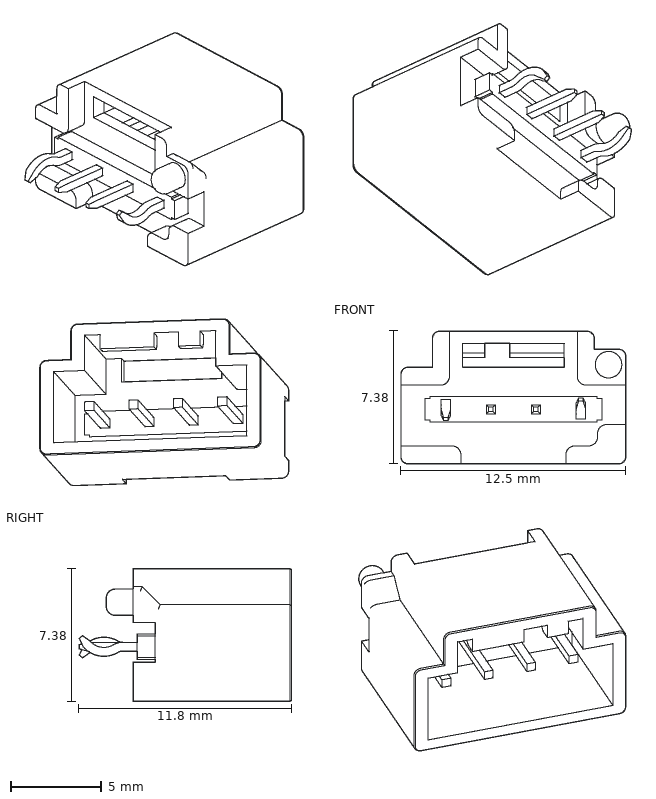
import cadquery as cq
import math


width = 12.5
depth = 8.8
height = 7.38
shoulder_height = 5.38
top_width = 9.0
edge_radius = 0.4
mouth_chamfer_depth = 0.1
mouth_chamfer_inset = 0.05

flange_height = 6.38
flange_thickness = 0.5
flange_rise = flange_height - shoulder_height

peg_diameter = 1.48
peg_length = 1.5
peg_round = 0.5
peg_x = 5.29
peg_z = 5.51

recess_depth = 1.22
recess_top_width = 7.1
recess_bottom_width = 5.82
pad_underside = 4.38
foot_height = 1.0
tall_foot_height = 2.19
tall_foot_width = 1.58
recess_radius = 0.5

side_wall = 0.8
roof_wall = 0.68
back_wall = 0.8
cavity_start = recess_depth + back_wall
cavity_depth = depth - cavity_start

window_width = 5.65
window_bottom = shoulder_height
window_top = height - roof_wall
ledge_drop = 0.8
ledge_length = 1.0
ledge_chamfer = 0.25
ledge_gap_width = 1.38
ledge_gap_x = -0.9

wafer_width = 9.28
wafer_height = 1.42
tab_span = 9.82
tab_height = 1.2
wafer_front = 0.22
wafer_length = cavity_start - wafer_front

contact_z = 3.04
contact_pitch = 2.5
contact_thickness = 0.5
contact_end = 7.05
tail_reach = 3.0
tip_length = 0.5
tip_thickness = 0.25
inner_contact_x = contact_pitch / 2
outer_contact_x = inner_contact_x + contact_pitch

kink_width = 0.54
kink_peak_y = -1.62
kink_rise = 0.29
bend_radius = 0.88
hump_radius = 1.25
tail_slope = 50.0


def box(x_min, x_max, y_min, y_max, z_min, z_max):
    """Block between the given limits."""
    return cq.Workplane("XY").box(
        x_max - x_min, y_max - y_min, z_max - z_min, centered=False
    ).translate((x_min, y_min, z_min))


def stepped_block(half_width, half_top, bottom, shoulder, top, start_y, length):
    """Block along Y with a wide lower part and a narrower top."""
    points = [
        (-half_width, bottom),
        (half_width, bottom),
        (half_width, shoulder),
        (half_top, shoulder),
        (half_top, top),
        (-half_top, top),
        (-half_top, shoulder),
        (-half_width, shoulder),
    ]
    plane = cq.Workplane("XZ", origin=(0, start_y, 0))
    return plane.polyline(points).close().extrude(-length)


def round_edges_along_y(block, corners, middle_y, radius):
    """Round the edges that run along Y through the given (x, z) corners."""
    for x, z in corners:
        edge = block.edges(cq.selectors.NearestToPointSelector((x, middle_y, z)))
        block = edge.fillet(radius)
    return block


def make_flange():
    """Raised right shoulder with a 45 degree ramp behind it and a rounded outer edge."""
    base_z = shoulder_height - edge_radius
    ramp_end = flange_thickness + flange_rise
    points = [
        (0, base_z),
        (ramp_end + edge_radius, base_z),
        (ramp_end, shoulder_height),
        (flange_thickness, flange_height),
        (0, flange_height),
    ]
    inner_x = top_width / 2 - edge_radius
    plane = cq.Workplane("YZ", origin=(inner_x, 0, 0))
    flange = plane.polyline(points).close().extrude(width / 2 - inner_x)
    top_middle = (width / 2, flange_thickness / 2, flange_height)
    ramp_middle = (width / 2, flange_thickness + flange_rise / 2, shoulder_height + flange_rise / 2)
    outer_edges = flange.edges(cq.selectors.NearestToPointSelector(top_middle))
    outer_edges = outer_edges.add(flange.edges(cq.selectors.NearestToPointSelector(ramp_middle)))
    return flange.newObject(outer_edges.vals()).fillet(edge_radius)


def make_peg():
    """Round-nosed locating peg standing out of the flange."""
    plane = cq.Workplane("XZ", origin=(peg_x, 0, peg_z))
    return plane.circle(peg_diameter / 2).extrude(peg_length).faces("<Y").edges().fillet(peg_round)


def make_recess():
    """Board-face recess, open to the top, the bottom and both sides."""
    side = width / 2
    half_top = recess_top_width / 2
    half_bottom = recess_bottom_width / 2
    tall_x = side - tall_foot_width
    points = [
        (-half_bottom, 0),
        (half_bottom, 0),
        (half_bottom, foot_height),
        (tall_x, foot_height),
        (tall_x, tall_foot_height),
        (side, tall_foot_height),
        (side, pad_underside),
        (half_top, pad_underside),
        (half_top, height),
        (-half_top, height),
        (-half_top, pad_underside),
        (-side, pad_underside),
        (-side, foot_height),
        (-half_bottom, foot_height),
    ]
    recess = cq.Workplane("XZ").polyline(points).close().extrude(-recess_depth)
    pad_corners = [
        (-half_bottom, foot_height),
        (half_bottom, foot_height),
        (tall_x, foot_height),
        (tall_x, tall_foot_height),
        (half_top, pad_underside),
        (-half_top, pad_underside),
    ]
    return round_edges_along_y(recess, pad_corners, recess_depth / 2, recess_radius)


def make_ledge():
    """Latch ledge under the roof at the mouth, split by a gap."""
    half = window_width / 2
    ledge = box(-half, half, depth - ledge_length, depth, window_top - ledge_drop, window_top)
    ledge = ledge.faces("<Y").edges("<Z").chamfer(ledge_chamfer)
    gap_left = ledge_gap_x - ledge_gap_width / 2
    gap_right = ledge_gap_x + ledge_gap_width / 2
    return ledge.cut(box(gap_left, gap_right, 0, depth, 0, window_top))


def make_wafer_block():
    """Wafer body with a lower tab at each end."""
    plane = cq.Workplane("XZ", origin=(0, wafer_front, contact_z))
    body = plane.rect(wafer_width, wafer_height).extrude(-wafer_length)
    return body.union(plane.rect(tab_span, tab_height).extrude(-wafer_length))


def make_housing():
    """Shell with flange, peg, recess, cavity, window and latch ledge."""
    shell = stepped_block(width / 2, top_width / 2, 0, shoulder_height, height, 0, depth)
    corners = [(side * width / 2, z) for side in (-1, 1) for z in (0, shoulder_height)]
    corners += [(side * top_width / 2, height) for side in (-1, 1)]
    shell = round_edges_along_y(shell, corners, depth / 2, edge_radius)
    shell = shell.faces(">Y").edges().chamfer(mouth_chamfer_depth, mouth_chamfer_inset)
    shell = shell.union(make_flange()).union(make_peg()).cut(make_recess())
    cavity = stepped_block(
        width / 2 - side_wall, top_width / 2 - side_wall, roof_wall, shoulder_height - roof_wall,
        window_top, cavity_start, cavity_depth,
    )
    half = window_width / 2
    window = box(-half, half, recess_depth, cavity_start, window_bottom, window_top)
    return shell.cut(cavity).cut(window).union(make_ledge()).cut(make_wafer_block())


def make_tip(base_width):
    """Four-sided taper from the origin along -Y."""
    base = cq.Workplane("XZ").rect(base_width, contact_thickness)
    return base.workplane(offset=tip_length).rect(tip_thickness, tip_thickness).loft()


def make_straight_contact(x):
    """Straight square contact with a tapered tail."""
    half = contact_thickness / 2
    tip_start = tip_length - tail_reach
    bar = box(-half, half, tip_start, contact_end, -half, half)
    contact = bar.union(make_tip(contact_thickness).translate((0, tip_start, 0)))
    return contact.translate((x, 0, contact_z))


def make_kinked_contact(x, hump_side):
    """Contact whose tail humps up (hump_side 1) or down (hump_side -1)."""
    half = contact_thickness / 2
    bend_angle = math.acos(1 - kink_rise / (bend_radius + hump_radius))
    slope = math.radians(tail_slope)
    bend_y = kink_peak_y + (bend_radius + hump_radius) * math.sin(bend_angle)
    hump_z = kink_rise - hump_radius

    def on_bend(angle, offset):
        r = bend_radius - offset
        return (bend_y - r * math.sin(angle), bend_radius - r * math.cos(angle))

    def on_hump(angle, offset):
        r = hump_radius + offset
        return (kink_peak_y - r * math.sin(angle), hump_z + r * math.cos(angle))

    outline = (
        cq.Workplane("YZ", origin=(-kink_width / 2, 0, 0))
        .moveTo(contact_end, half)
        .lineTo(bend_y, half)
        .threePointArc(on_bend(bend_angle / 2, half), on_bend(bend_angle, half))
        .threePointArc(on_hump(0, half), on_hump(slope, half))
        .lineTo(*on_hump(slope, -half))
        .threePointArc(on_hump(0, -half), on_hump(-bend_angle, -half))
        .threePointArc(on_bend(bend_angle / 2, -half), (bend_y, -half))
        .lineTo(contact_end, -half)
        .close()
    )
    tip = make_tip(kink_width).rotate((0, 0, 0), (1, 0, 0), tail_slope)
    contact = outline.extrude(kink_width).union(tip.translate((0, *on_hump(slope, 0))))
    if hump_side < 0:
        contact = contact.mirror("XY")
    return contact.translate((x, 0, contact_z))


housing = make_housing()

contacts = [make_straight_contact(x) for x in (-inner_contact_x, inner_contact_x)]
for hump_side in (1, -1):
    contacts.append(make_kinked_contact(-hump_side * outer_contact_x, hump_side))

wafer = make_wafer_block()
for contact in contacts:
    wafer = wafer.cut(contact)

result = cq.Compound.makeCompound(
    [housing.val(), wafer.val(), *[contact.val() for contact in contacts]]
)